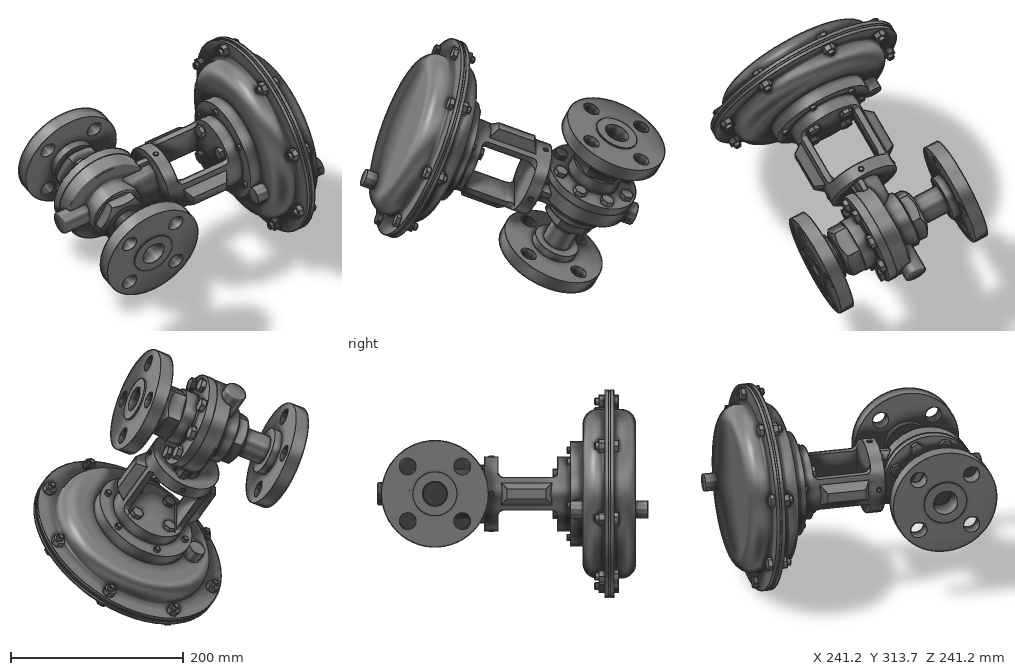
import cadquery as cq
import math


casing_mid_y = 202.6
casing_half_depth = 30.5
dome_radius = 98.0
dome_round = 17.0
rim_radius = 120.625
rim_half_depth = 5.2
rim_root_fillet = 3.5
diaphragm_radius = 120.0
diaphragm_half_depth = 1.2
actuator_turn = -15.0

casing_bolt_count = 8
casing_bolt_circle = 111.0
m8_diameter = 8.0
m8_across_flats = 13.0
m8_head_height = 5.3
m8_nut_height = 6.8
m8_nut_chamfer_height = 0.6
m8_nut_chamfer_depth = 1.0
bolt_tail = 5.2
bolt_tail_chamfer = 1.0

port_radius = 10.0
port_circle = 70.0
upper_port_length = 14.13
base_plate_radius = 60.5
base_plate_thickness = 14.9
plate_screw_count = 6
plate_screw_circle = 52.5
plate_screw_first_angle = 45.0
plate_screw_diameter = 7.4
plate_screw_length = 4.1
plate_screw_chamfer = 0.8

yoke_radius = 43.0
upper_collar_thickness = 14.7
lower_collar_top = 73.3
lower_collar_bottom = 57.7
arm_half_width = 19.0
arm_root_fillet = 6.5
window_half_width = 31.5
window_top_chamfer = 1.5
window_foot_width = 2.9
window_foot_height = 9.6
collar_bolt_count = 4
collar_bolt_circle = 30.0
pad_outer_x = 52.4
pad_length = 45.4
pad_width = 11.6
pad_depth = 14.0
pad_taper = 31.5
pad_mid_y = 106.5
dowel_count = 4
dowel_diameter = 6.4
dowel_tip_radius = 44.0
dowel_chamfer = 0.9

flange_radius = 62.0
flange_outer_x = 97.2
flange_thickness = 16.2
raised_face_radius = 25.5
raised_face_height = 1.8
hub_radius = 27.1
hub_length = 9.4
flange_hole_count = 4
flange_hole_diameter = 19.4
flange_hole_circle = 44.8
pipe_radius = 16.8
flange_bore_radius = 14.5
pipe_bore_radius = 13.6

nut_across_flats = 55.0
nut_end_radius = 24.0
nut_chamfer_length = 5.2
left_nut_outer_x = -67.9
left_nut_inner_x = -47.1
right_nut_inner_x = 23.3
right_nut_outer_x = 38.8

left_barrel_radius = 31.6
groove_radius = 29.4
groove_slope_rise = 2.0
groove_start_x = -31.9
cover_start_x = -29.7
cover_radius = 55.3
cover_end_x = -19.1
body_flange_radius = 54.6
body_flange_end_x = 0.6
body_flange_round = 2.3
right_barrel_radius = 33.5
barrel_root_fillet = 3.0
barrel_chamfer = 1.5
cover_bolt_count = 8
cover_bolt_circle = 45.0
cover_bolt_across_flats = 14.0
cover_bolt_head_height = 6.0
neck_x = 0.8
neck_half_length = 18.6
neck_half_width = 28.8
saddle_front_x = -2.8
saddle_shoulder_x = -9.4
saddle_waist_x = -14.5
saddle_back_x = -17.7
saddle_half_width = 33.7
saddle_waist_half_width = 25.0
drain_radius = 13.0
drain_end_y = -66.5
drain_round = 2.0

casing_top = casing_mid_y + casing_half_depth
casing_bottom = casing_mid_y - casing_half_depth
base_plate_bottom = casing_bottom - base_plate_thickness
upper_collar_bottom = base_plate_bottom - upper_collar_thickness
rim_top = casing_mid_y + rim_half_depth
rim_bottom = casing_mid_y - rim_half_depth
pad_flare = 2 * pad_depth * math.tan(math.radians(pad_taper))
dowel_y = (lower_collar_top + lower_collar_bottom) / 2
flange_inner_x = flange_outer_x - flange_thickness
face_x = flange_outer_x + raised_face_height
hub_end_x = flange_inner_x - hub_length

X_AXIS = cq.Vector(1, 0, 0)
Y_AXIS = cq.Vector(0, 1, 0)


def rod_x(radius, x_start, x_end, y=0.0, z=0.0):
    """Round bar parallel to X."""
    solid = cq.Solid.makeCylinder(radius, x_end - x_start, cq.Vector(x_start, y, z), X_AXIS)
    return cq.Workplane(obj=solid)


def rod_y(radius, y_start, y_end, x=0.0, z=0.0):
    """Round bar parallel to Y."""
    solid = cq.Solid.makeCylinder(radius, y_end - y_start, cq.Vector(x, y_start, z), Y_AXIS)
    return cq.Workplane(obj=solid)


def hex_x(across_flats, x_start, x_end):
    """Hexagon bar along X with two corners on the Y direction."""
    plane = cq.Plane(origin=(x_start, 0, 0), xDir=(0, 1, 0), normal=(1, 0, 0))
    across_corners = across_flats / math.cos(math.radians(30))
    return cq.Workplane(plane).polygon(6, across_corners).extrude(x_end - x_start)


def hex_y(across_flats, y_start, y_end, radius, corner_angle):
    """Hexagon head along Y, offset along +X, with one corner turned to corner_angle."""
    plane = cq.Plane(origin=(radius, y_start, 0), xDir=(1, 0, 0), normal=(0, 1, 0))
    across_corners = across_flats / math.cos(math.radians(30))
    head = cq.Workplane(plane).polygon(6, across_corners).extrude(y_end - y_start)
    return head.rotate((radius, 0, 0), (radius, 1, 0), -corner_angle)


def at_stem_angle(shape, angle):
    """Turn about the stem; the angle runs from +X toward +Z."""
    return shape.rotate((0, 0, 0), (0, 1, 0), -angle)


def add_around_stem(body, shape, count, first_angle):
    for index in range(count):
        body = body.union(at_stem_angle(shape, first_angle + index * 360 / count))
    return body


def casing_half(side):
    """One pressed half of the casing, on the +Y (side=1) or -Y (side=-1) side."""
    round_centre_r = dome_radius - dome_round
    round_start = casing_half_depth - dome_round
    fillet_end = rim_half_depth + rim_root_fillet
    diagonal = math.sqrt(0.5)
    fillet_mid = rim_root_fillet * (1 - diagonal)
    outline = (
        cq.Workplane("XY")
        .moveTo(0, 0)
        .lineTo(diaphragm_radius, 0)
        .lineTo(diaphragm_radius, diaphragm_half_depth)
        .lineTo(rim_radius, diaphragm_half_depth)
        .lineTo(rim_radius, rim_half_depth)
        .lineTo(dome_radius + rim_root_fillet, rim_half_depth)
        .threePointArc(
            (dome_radius + fillet_mid, rim_half_depth + fillet_mid),
            (dome_radius, fillet_end),
        )
        .lineTo(dome_radius, round_start)
        .threePointArc(
            (round_centre_r + dome_round * diagonal, round_start + dome_round * diagonal),
            (round_centre_r, casing_half_depth),
        )
        .lineTo(0, casing_half_depth)
        .close()
    )
    half = outline.revolve(360, (0, 0, 0), (0, 1, 0))
    if side < 0:
        half = half.mirror("XZ")
    return half.translate((0, casing_mid_y, 0))


def casing_bolt():
    """Head above the rim; nut, chamfered toward the rim, and thread end below it."""
    head = hex_y(m8_across_flats, rim_top, rim_top + m8_head_height, casing_bolt_circle, 30)
    nut_bottom = rim_bottom - m8_nut_height
    nut = hex_y(m8_across_flats, nut_bottom, rim_bottom, casing_bolt_circle, 0)
    nut_corner_radius = m8_across_flats / 2 / math.cos(math.radians(30))
    envelope = rod_y(nut_corner_radius, nut_bottom, rim_bottom, casing_bolt_circle)
    envelope = envelope.faces(">Y").chamfer(m8_nut_chamfer_height, m8_nut_chamfer_depth)
    nut = nut.intersect(envelope)
    tail = rod_y(m8_diameter / 2, nut_bottom - bolt_tail, rim_top, casing_bolt_circle)
    tail = tail.faces("<Y").chamfer(bolt_tail_chamfer)
    return tail.union(head).union(nut)


def plate_screw():
    bottom = base_plate_bottom - plate_screw_length
    screw = rod_y(plate_screw_diameter / 2, bottom, casing_bottom, plate_screw_circle)
    return screw.faces("<Y").chamfer(plate_screw_chamfer)


def yoke():
    middle_y = (upper_collar_bottom + lower_collar_top) / 2
    yoke_height = base_plate_bottom - lower_collar_bottom
    blank = (
        cq.Workplane("XY")
        .box(2 * yoke_radius, yoke_height, 2 * yoke_radius)
        .translate((0, lower_collar_bottom + yoke_height / 2, 0))
    )
    gap_height = upper_collar_bottom - lower_collar_top
    gap_depth = 2 * yoke_radius
    for side in (1, -1):
        gap = (
            cq.Workplane("XY")
            .box(3 * yoke_radius, gap_height, gap_depth)
            .edges("|X")
            .fillet(arm_root_fillet)
            .translate((0, middle_y, side * (arm_half_width + gap_depth / 2)))
        )
        blank = blank.cut(gap)
    body = blank.intersect(rod_y(yoke_radius, lower_collar_bottom, base_plate_bottom))

    right_side = [
        (window_half_width - window_foot_width, lower_collar_top),
        (window_half_width, lower_collar_top + window_foot_height),
        (window_half_width, upper_collar_bottom - window_top_chamfer),
        (window_half_width - window_top_chamfer, upper_collar_bottom),
    ]
    left_side = [(-x, y) for x, y in reversed(right_side)]
    window = cq.Workplane("XY").polyline(right_side + left_side).close()
    body = body.cut(window.extrude(yoke_radius, both=True))

    for side in (1, -1):
        plane = cq.Plane(
            origin=(side * pad_outer_x, pad_mid_y, 0), xDir=(0, 1, 0), normal=(-side, 0, 0)
        )
        pad = (
            cq.Workplane(plane)
            .rect(pad_length, pad_width)
            .workplane(offset=pad_depth)
            .rect(pad_length + pad_flare, pad_width + pad_flare)
            .loft(ruled=True)
        )
        body = body.union(pad)

    dowel = rod_x(dowel_diameter / 2, window_half_width, dowel_tip_radius, dowel_y)
    dowel = dowel.faces(">X").chamfer(dowel_chamfer)
    body = add_around_stem(body, dowel, dowel_count, 0)

    head = hex_y(
        m8_across_flats,
        upper_collar_bottom - m8_head_height,
        upper_collar_bottom,
        collar_bolt_circle,
        -45,
    )
    return add_around_stem(body, head, collar_bolt_count, 45)


def build_actuator():
    body = casing_half(1).union(casing_half(-1))
    body = body.union(rod_y(base_plate_radius, base_plate_bottom, casing_bottom))
    body = add_around_stem(body, casing_bolt(), casing_bolt_count, actuator_turn)
    upper_port = rod_y(port_radius, casing_top, casing_top + upper_port_length, port_circle)
    lower_port = rod_y(port_radius, base_plate_bottom, casing_bottom, port_circle)
    for port in (upper_port, lower_port):
        body = body.union(at_stem_angle(port, actuator_turn))
    body = add_around_stem(body, plate_screw(), plate_screw_count, plate_screw_first_angle)
    return body.union(yoke())


def pipe_end(nut_outer_x):
    """Flange, hub and pipe on the +X side, ending at the union nut."""
    end = rod_x(flange_radius, flange_inner_x, flange_outer_x)
    end = end.union(rod_x(raised_face_radius, flange_outer_x, face_x))
    end = end.union(rod_x(hub_radius, hub_end_x, flange_inner_x))
    end = end.union(rod_x(pipe_radius, nut_outer_x, hub_end_x))
    end = end.cut(rod_x(pipe_bore_radius, nut_outer_x, hub_end_x))
    end = end.cut(rod_x(flange_bore_radius, hub_end_x, face_x))
    for index in range(flange_hole_count):
        angle = math.radians(45 + index * 360 / flange_hole_count)
        y = flange_hole_circle * math.cos(angle)
        z = flange_hole_circle * math.sin(angle)
        end = end.cut(rod_x(flange_hole_diameter / 2, flange_inner_x, flange_outer_x, y, z))
    return end


def union_nut(inner_x, outer_x):
    """Hexagon nut on the +X side, coned at its outer end."""
    corner_radius = nut_across_flats / 2 / math.cos(math.radians(30))
    envelope = (
        cq.Workplane("XY")
        .polyline([
            (inner_x, 0),
            (inner_x, corner_radius),
            (outer_x - nut_chamfer_length, corner_radius),
            (outer_x, nut_end_radius),
            (outer_x, 0),
        ])
        .close()
        .revolve(360, (0, 0, 0), (1, 0, 0))
    )
    return hex_x(nut_across_flats, inner_x, outer_x).intersect(envelope)


def valve_core():
    """Turned body between the two union nuts."""
    fillet_mid = barrel_root_fillet * (1 - math.sqrt(0.5))
    round_mid = body_flange_round * (1 - math.sqrt(0.5))
    outline = (
        cq.Workplane("XY")
        .moveTo(left_nut_inner_x, 0)
        .lineTo(left_nut_inner_x, left_barrel_radius)
        .lineTo(groove_start_x, left_barrel_radius)
        .lineTo(groove_start_x, groove_radius)
        .lineTo(cover_start_x, groove_radius + groove_slope_rise)
        .lineTo(cover_start_x, cover_radius)
        .lineTo(cover_end_x, cover_radius)
        .lineTo(cover_end_x, body_flange_radius)
        .lineTo(body_flange_end_x - body_flange_round, body_flange_radius)
        .threePointArc(
            (body_flange_end_x - round_mid, body_flange_radius - round_mid),
            (body_flange_end_x, body_flange_radius - body_flange_round),
        )
        .lineTo(body_flange_end_x, right_barrel_radius + barrel_root_fillet)
        .threePointArc(
            (body_flange_end_x + fillet_mid, right_barrel_radius + fillet_mid),
            (body_flange_end_x + barrel_root_fillet, right_barrel_radius),
        )
        .lineTo(right_nut_inner_x - barrel_chamfer, right_barrel_radius)
        .lineTo(right_nut_inner_x, right_barrel_radius - barrel_chamfer)
        .lineTo(right_nut_inner_x, 0)
        .close()
    )
    return outline.revolve(360, (0, 0, 0), (1, 0, 0))


def saddle():
    """Stepped block on top of the body flange that carries the neck."""
    near_side = [
        (saddle_front_x, saddle_half_width),
        (saddle_shoulder_x, saddle_half_width),
        (saddle_waist_x, saddle_waist_half_width),
        (saddle_back_x, saddle_waist_half_width),
    ]
    far_side = [(x, -z) for x, z in reversed(near_side)]
    plane = cq.Plane(origin=(0, lower_collar_bottom, 0), xDir=(1, 0, 0), normal=(0, -1, 0))
    block = cq.Workplane(plane).polyline(near_side + far_side).close()
    return block.extrude(lower_collar_bottom - right_barrel_radius)


def neck():
    """Oval neck rising from the body to the yoke collar."""
    plane = cq.Plane(origin=(neck_x, lower_collar_bottom, 0), xDir=(1, 0, 0), normal=(0, -1, 0))
    oval = cq.Workplane(plane).ellipse(neck_half_length, neck_half_width)
    return oval.extrude(lower_collar_bottom)


def build_valve():
    body = valve_core()
    body = body.union(union_nut(right_nut_inner_x, right_nut_outer_x))
    body = body.union(union_nut(-left_nut_inner_x, -left_nut_outer_x).mirror("YZ"))
    body = body.union(pipe_end(right_nut_outer_x))
    body = body.union(pipe_end(-left_nut_outer_x).mirror("YZ"))

    head = hex_x(cover_bolt_across_flats, cover_start_x - cover_bolt_head_height, cover_start_x)
    first_angle = 180 / cover_bolt_count
    head = head.rotate((0, 0, 0), (1, 0, 0), first_angle).translate((0, cover_bolt_circle, 0))
    for index in range(cover_bolt_count):
        angle = first_angle + index * 360 / cover_bolt_count
        body = body.union(head.rotate((0, 0, 0), (1, 0, 0), angle))

    body = body.union(neck())
    body = body.union(saddle())
    drain = rod_y(drain_radius, drain_end_y, 0)
    return body.union(drain.faces("<Y").fillet(drain_round))


actuator = build_actuator()
valve = build_valve()

result = cq.Compound.makeCompound([actuator.val(), valve.val()])